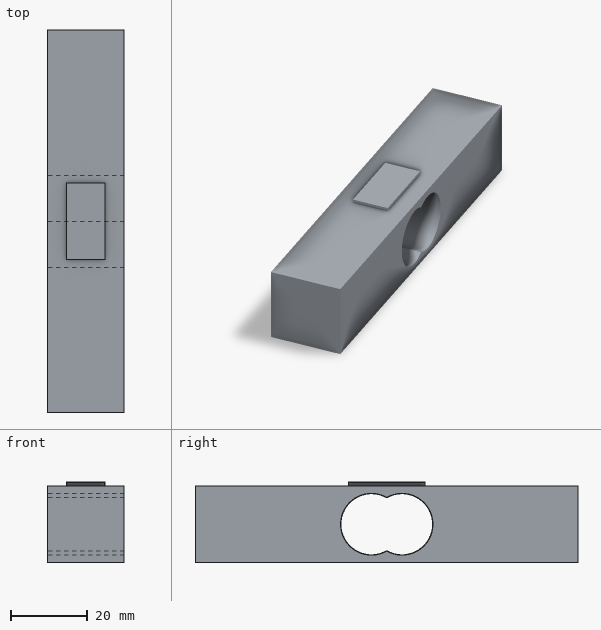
import cadquery as cq

bar_length = 100.0
bar_side = 20.0

bore_diameter = 16.0
bore_spacing = 8.0

plate_width = 10.0
plate_length = 20.0
plate_thickness = 1.0


def make_bar():
    """Bar with a double-bore window through its sides."""
    bar = cq.Workplane("XY").box(bar_side, bar_length, bar_side)
    for bore_y in (-bore_spacing / 2, bore_spacing / 2):
        bore = (
            cq.Workplane("YZ")
            .center(bore_y, 0)
            .circle(bore_diameter / 2)
            .extrude(bar_side / 2, both=True)
        )
        bar = bar.cut(bore)
    return bar


def make_plate():
    """Plate resting on the top face of the bar."""
    return (
        cq.Workplane("XY")
        .workplane(offset=bar_side / 2)
        .rect(plate_width, plate_length)
        .extrude(plate_thickness)
    )


bar = make_bar()
plate = make_plate()

result = cq.Compound.makeCompound([bar.solids().val(), plate.val()])